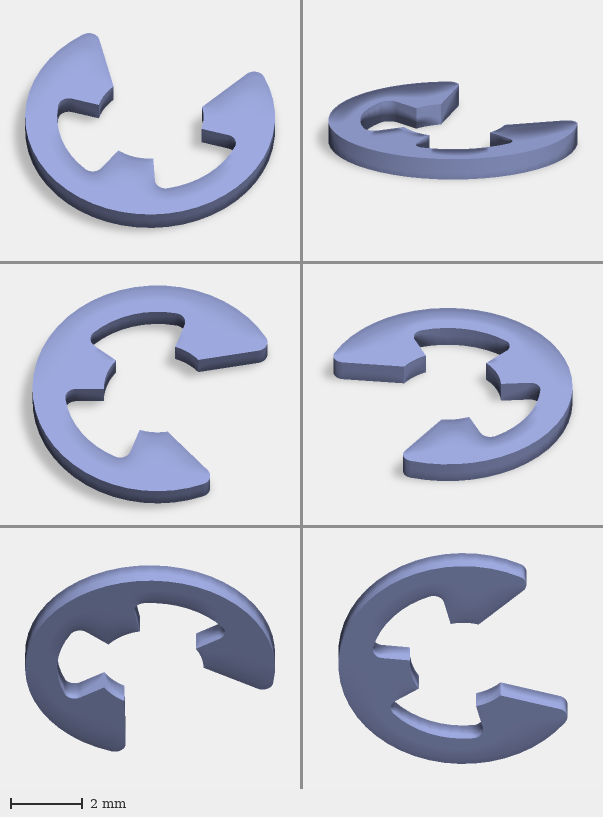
import cadquery as cq
import math

outer_radius = 3.495
relief_radius = 2.6
groove_radius = 1.495
thickness = 0.6
corner_radius = 0.3

tooth_half_angle = 20.0
mouth_angle = 30.4
mouth_flank_angle = 60.0
mouth_top = outer_radius


def polar(radius, angle):
    """Point at the given radius and angle in degrees from +X."""
    turn = math.radians(angle)
    return (radius * math.cos(turn), radius * math.sin(turn))


def mirrored(point):
    return (-point[0], point[1])


def relief_pocket():
    """Quarter-ring pocket between the right-hand tooth and the lower tooth."""
    tooth_side = tooth_half_angle - 90
    middle = tooth_side / 2
    return (
        cq.Workplane("XY")
        .lineTo(relief_radius, 0)
        .threePointArc(polar(relief_radius, middle), polar(relief_radius, tooth_side))
        .close()
        .extrude(thickness)
        .edges("|Z")
        .edges(">X or <Y")
        .fillet(corner_radius)
    )


def mouth():
    """Flared opening that lets the ring slide onto the shaft."""
    corner = polar(groove_radius, mouth_angle)
    rise = mouth_top - corner[1]
    flare = rise / math.tan(math.radians(mouth_flank_angle))
    top_corner = (corner[0] + flare, mouth_top)
    outline = [corner, top_corner, mirrored(top_corner), mirrored(corner)]
    return cq.Workplane("XY").polyline(outline).close().extrude(thickness)


ring = cq.Workplane("XY").circle(outer_radius).circle(groove_radius).extrude(thickness)
ring = ring.cut(mouth())

ring = ring.edges("|Z and >Y").fillet(corner_radius)

pocket = relief_pocket()
result = ring.cut(pocket).cut(pocket.mirror("YZ"))